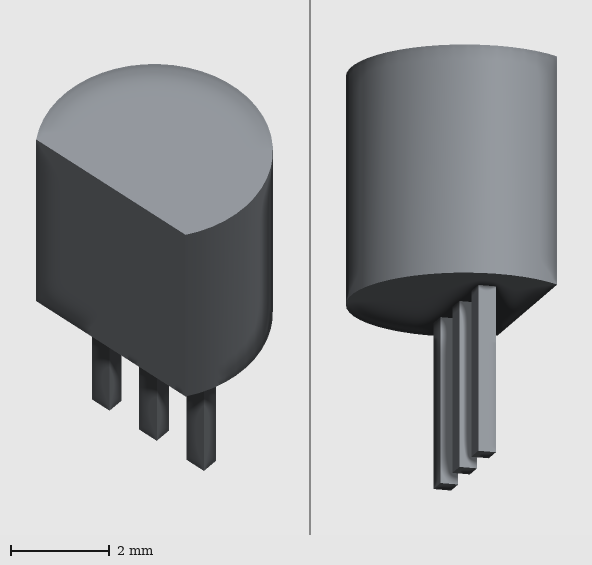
import cadquery as cq
import math

total_height = 8.3
body_diameter = 4.82
body_depth = 3.74

lead_length = 3.495
lead_width = 0.47
lead_thickness = 0.37
lead_pitch = 1.27
lead_count = 3

body_radius = body_diameter / 2
body_height = total_height - lead_length
flat_y = body_radius - body_depth
flat_half_width = math.sqrt(body_radius**2 - flat_y**2)


def make_body():
    """Round package with a flat front face, standing on Z = 0."""
    return (
        cq.Workplane("XY")
        .moveTo(-flat_half_width, flat_y)
        .lineTo(flat_half_width, flat_y)
        .threePointArc((0, body_radius), (-flat_half_width, flat_y))
        .close()
        .extrude(body_height)
    )


def make_leads():
    """Row of rectangular leads hanging from the underside of the body."""
    return (
        cq.Workplane("XY")
        .rarray(lead_pitch, 0.08, lead_count, 1)
        .rect(lead_width, lead_thickness)
        .extrude(-lead_length)
    )


result = make_body().union(make_leads())